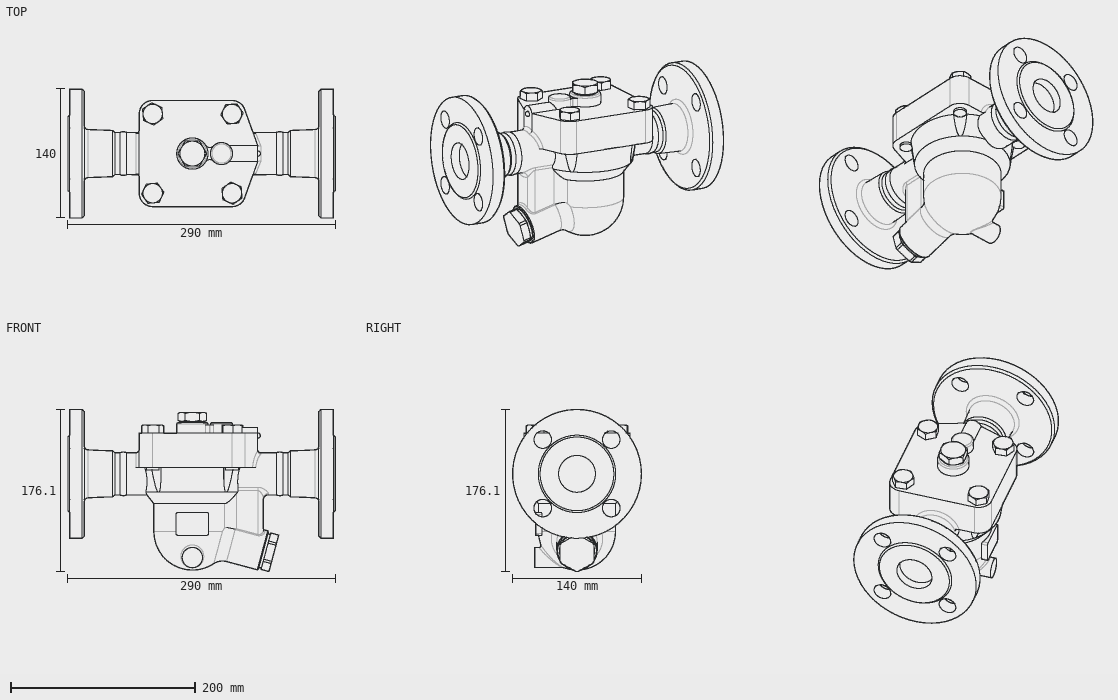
import cadquery as cq
import math

FACE_TO_FACE = 290.0
HALF_LENGTH = FACE_TO_FACE / 2
FLANGE_RADIUS = 70.0
FLANGE_THICKNESS = 16.0
FLANGE_CHAMFER = 2.5
RAISED_FACE_RADIUS = 42.0
RAISED_FACE_HEIGHT = 2.0
BOLT_CIRCLE_RADIUS = 52.5
FLANGE_HOLE_DIAMETER = 19.0
FLANGE_HOLES = 4
FIRST_HOLE_ANGLE = 45.0
PORT_DIAMETER = 40.0
PORT_DEPTH = 10.0

PIPE_RADIUS = 23.0
STUB_WIDE_RADIUS = 26.2
STUB_NARROW_RADIUS = 25.2
STUB_WIDE_X = 123.0
STUB_NARROW_X = 96.5
STUB_BEVEL_X = 94.0
STUB_FILLET = HALF_LENGTH - RAISED_FACE_HEIGHT - FLANGE_THICKNESS - STUB_WIDE_X
WELD_CENTER_X = 84.8
WELD_HALF_WIDTH = 3.6
WELD_HEIGHT = 0.8

BODY_X = -10.0
PLATE_BOTTOM_Z = 6.9
PLATE_TOP_Z = 44.1
BOLT_OFFSET = 43.0
PLATE_CORNER_RADIUS = 14.7
PLATE_NOSE_X = 60.8
PLATE_NOSE_HALF_WIDTH = 9.0
PLATE_PIPE_FILLET = 3.5

BOLT_FLATS = 21.0
BOLT_HEAD_HEIGHT = 9.0
BOLT_TURN = 5.0
COVER_BOLTS = 4
PLUG_BOSS_RADIUS = 17.0
BOSS_TOP_Z = 55.5
BOSS_EDGE_FILLET = 1.6
PLUG_FLATS = 27.0
PLUG_SEAT_Z = 56.8
PLUG_TOP_Z = 66.7
PLUG_COLLAR_RADIUS = 12.0
SIDE_BOSS_X = 21.6
SIDE_BOSS_RADIUS = 12.0
BRIDGE_WIDTH = 13.2
BRIDGE_TOP_Z = 53.1
BRIDGE_FILLET = 5.0
RUNNER_RADIUS = 9.0
RUNNER_Z = 41.5
NIPPLE_RADIUS = 3.0

BOWL_RADIUS = 42.0
BOWL_CENTER_Z = -62.5
SHOULDER_TOP_RADIUS = 56.0
SHOULDER_LOW_RADIUS = 51.9
SHOULDER_LOW_Z = -19.6
BOWL_TOP_Z = -32.3
BOLT_CLEARANCE_RADIUS = 9.0
BOLT_SHANK_RADIUS = 7.0
BOLT_END_Z = 4.4

ARM_TILT = 15.0
ARM_RADIUS = 22.0
ARM_BLEND_START = 44.3
ARM_END = 79.8
ARM_CHAMFER = 1.0
CAP_NECK_RADIUS = 19.0
CAP_START = 82.6
CAP_END = 91.6
CAP_FLATS = 37.0
CAP_CORNER_DIAMETER = 41.2

WEB_HALF_WIDTH = 16.5
WEB_END_X = 67.0
WEB_EDGE_FILLET = 6.0
WEB_ROOT_X = 37.9
WEB_PIPE_FILLET = 5.5
WEB_ARM_FILLET = 2.0

PAD_WIDTH = 35.4
PAD_TOP_Z = -41.9
PAD_BOTTOM_Z = -66.6
PAD_FRONT_Y = -45.0
PAD_CORNER_RADIUS = 2.0
DRAIN_DIAMETER = 22.0
DRAIN_Z = -90.8
DRAIN_FRONT_Y = -46.0
DRAIN_FILLET = 2.0

EDGE_MARGIN = 1.0


def vertical_cylinder(x, y, radius, bottom, top):
    return cq.Workplane("XY", origin=(x, y, bottom)).circle(radius).extrude(top - bottom)


def edges_within(solid, low, high):
    """Edges that lie wholly inside the box between two opposite corners."""
    return solid.edges(cq.selectors.BoxSelector(low, high, boundingbox=True))


def hex_prism(flats, height, corner_diameter):
    """Hexagon along +Z from the origin, its corners trimmed to a cylinder."""
    prism = cq.Workplane("XY").polygon(6, flats / math.cos(math.pi / 6)).extrude(height)
    return prism.intersect(cq.Workplane("XY").circle(corner_diameter / 2).extrude(height))


def hex_head(flats, height, bevel_both_ends=False):
    """Hexagon head along +Z from the origin with turned 30 degree bevels on its corners."""
    corner_radius = flats / 2 / math.cos(math.pi / 6)
    bevel_width = corner_radius - flats / 2
    bevel_height = bevel_width * math.tan(math.pi / 6)
    prism = cq.Workplane("XY").polygon(6, 2 * corner_radius).extrude(height)
    turned = cq.Workplane("XY").circle(corner_radius).extrude(height)
    ends = turned.faces(">Z or <Z") if bevel_both_ends else turned.faces(">Z")
    return prism.intersect(ends.edges().chamfer(bevel_height, bevel_width))


def flange_and_stub():
    """Flange, hub fillet, tapered stub and weld bead of the +X end, turned about X."""
    face_x = HALF_LENGTH - RAISED_FACE_HEIGHT
    back_x = face_x - FLANGE_THICKNESS
    fillet_mid = STUB_FILLET * (1 - math.sqrt(0.5))
    profile = (
        cq.Workplane("XY")
        .moveTo(0, 0)
        .lineTo(0, PIPE_RADIUS)
        .lineTo(WELD_CENTER_X - WELD_HALF_WIDTH, PIPE_RADIUS)
        .threePointArc(
            (WELD_CENTER_X, PIPE_RADIUS + WELD_HEIGHT),
            (WELD_CENTER_X + WELD_HALF_WIDTH, PIPE_RADIUS),
        )
        .lineTo(STUB_BEVEL_X, PIPE_RADIUS)
        .lineTo(STUB_NARROW_X, STUB_NARROW_RADIUS)
        .lineTo(STUB_WIDE_X, STUB_WIDE_RADIUS)
        .threePointArc(
            (back_x - fillet_mid, STUB_WIDE_RADIUS + fillet_mid),
            (back_x, STUB_WIDE_RADIUS + STUB_FILLET),
        )
        .lineTo(back_x, FLANGE_RADIUS - FLANGE_CHAMFER)
        .lineTo(back_x + FLANGE_CHAMFER, FLANGE_RADIUS)
        .lineTo(face_x, FLANGE_RADIUS)
        .lineTo(face_x, RAISED_FACE_RADIUS)
        .lineTo(HALF_LENGTH, RAISED_FACE_RADIUS - RAISED_FACE_HEIGHT)
        .lineTo(HALF_LENGTH, 0)
        .close()
    )
    end = profile.revolve(360, (0, 0, 0), (1, 0, 0))
    face = cq.Workplane("YZ", origin=(HALF_LENGTH, 0, 0))
    holes = (
        face.polarArray(BOLT_CIRCLE_RADIUS, FIRST_HOLE_ANGLE, 360, FLANGE_HOLES)
        .circle(FLANGE_HOLE_DIAMETER / 2)
        .extrude(-FLANGE_THICKNESS - RAISED_FACE_HEIGHT)
    )
    port = face.circle(PORT_DIAMETER / 2).extrude(-PORT_DEPTH)
    return end.cut(holes).cut(port)


def plates():
    """Square plates with round corners and a nose towards +X."""
    left = BODY_X - BOLT_OFFSET
    right = BODY_X + BOLT_OFFSET
    reach = BOLT_OFFSET + PLATE_CORNER_RADIUS
    nose_dx = PLATE_NOSE_X - right
    nose_dy = BOLT_OFFSET - PLATE_NOSE_HALF_WIDTH
    tangent = math.acos(PLATE_CORNER_RADIUS / math.hypot(nose_dx, nose_dy)) - math.atan2(nose_dy, nose_dx)

    def on_corner(center_x, side, angle):
        return (
            center_x + PLATE_CORNER_RADIUS * math.cos(angle),
            side * (BOLT_OFFSET + PLATE_CORNER_RADIUS * math.sin(angle)),
        )

    right_mid = (tangent + math.pi / 2) / 2
    left_mid = 3 * math.pi / 4
    outline = (
        cq.Workplane("XY", origin=(0, 0, PLATE_BOTTOM_Z))
        .moveTo(left, -reach)
        .lineTo(right, -reach)
        .threePointArc(on_corner(right, -1, right_mid), on_corner(right, -1, tangent))
        .lineTo(PLATE_NOSE_X, -PLATE_NOSE_HALF_WIDTH)
        .lineTo(PLATE_NOSE_X, PLATE_NOSE_HALF_WIDTH)
        .lineTo(*on_corner(right, 1, tangent))
        .threePointArc(on_corner(right, 1, right_mid), (right, reach))
        .lineTo(left, reach)
        .threePointArc(on_corner(left, 1, left_mid), (left - PLATE_CORNER_RADIUS, BOLT_OFFSET))
        .lineTo(left - PLATE_CORNER_RADIUS, -BOLT_OFFSET)
        .threePointArc(on_corner(left, -1, left_mid), (left, -reach))
        .close()
    )
    return outline.extrude(PLATE_TOP_Z - PLATE_BOTTOM_Z)


def along_arm(shape):
    """Place a shape built along +Z from the origin onto the arm axis."""
    tilted = shape.rotate((0, 0, 0), (0, 1, 0), 90 + ARM_TILT)
    return tilted.translate((BODY_X, 0, BOWL_CENTER_Z))


def below_arm():
    """Block filling the space under a plane halfway from the arm axis to its upper side."""
    size = 2 * HALF_LENGTH
    block = cq.Workplane("XY").box(size, size, size).translate((size / 2 - ARM_RADIUS / 2, 0, 0))
    return along_arm(block)


def straight_web():
    """Straight part of the web from the pipe axis down into the arm, its end corners rounded."""
    block = cq.Workplane("XY").box(
        WEB_END_X,
        2 * WEB_HALF_WIDTH,
        BOWL_RADIUS - BOWL_CENTER_Z,
        centered=(False, True, False),
    )
    block = block.translate((0, 0, BOWL_CENTER_Z - BOWL_RADIUS))
    return block.edges("|Z and >X").fillet(WEB_EDGE_FILLET).cut(below_arm())


def web_root():
    """Root of the web, flaring tangentially into the bowl."""
    root_dx = WEB_ROOT_X - BODY_X
    root_radius = (root_dx**2 + WEB_HALF_WIDTH**2 - BOWL_RADIUS**2) / (2 * (BOWL_RADIUS - WEB_HALF_WIDTH))
    center_y = WEB_HALF_WIDTH + root_radius
    bowl_angle = math.atan2(center_y, root_dx)
    arc_angle = (bowl_angle + math.pi / 2) / 2
    bowl_point = (BODY_X + BOWL_RADIUS * math.cos(bowl_angle), BOWL_RADIUS * math.sin(bowl_angle))
    arc_point = (
        WEB_ROOT_X - root_radius * math.cos(arc_angle),
        center_y - root_radius * math.sin(arc_angle),
    )

    def mirrored(point):
        return (point[0], -point[1])

    outline = (
        cq.Workplane("XY", origin=(0, 0, -BOWL_RADIUS + BOWL_CENTER_Z))
        .moveTo(BODY_X, -bowl_point[1])
        .lineTo(*mirrored(bowl_point))
        .threePointArc(mirrored(arc_point), (WEB_ROOT_X, -WEB_HALF_WIDTH))
        .lineTo(WEB_ROOT_X, WEB_HALF_WIDTH)
        .threePointArc(arc_point, bowl_point)
        .lineTo(BODY_X, bowl_point[1])
        .close()
    )
    return outline.extrude(BOWL_RADIUS - BOWL_CENTER_Z).cut(below_arm())


def arm():
    """Round arm with a toroidal blend into the bowl, a neck and a hexagon cap."""
    blend_radius = (ARM_BLEND_START**2 + ARM_RADIUS**2 - BOWL_RADIUS**2) / (2 * (BOWL_RADIUS - ARM_RADIUS))
    blend_center = ARM_RADIUS + blend_radius
    bowl_angle = math.atan2(blend_center, ARM_BLEND_START)
    mid_angle = (bowl_angle + math.pi / 2) / 2
    bowl_point = (BOWL_RADIUS * math.sin(bowl_angle), BOWL_RADIUS * math.cos(bowl_angle))
    mid_point = (
        blend_center - blend_radius * math.sin(mid_angle),
        ARM_BLEND_START - blend_radius * math.cos(mid_angle),
    )
    turned = (
        cq.Workplane("XZ")
        .moveTo(0, bowl_point[1])
        .lineTo(*bowl_point)
        .threePointArc(mid_point, (ARM_RADIUS, ARM_BLEND_START))
        .lineTo(ARM_RADIUS, ARM_END - ARM_CHAMFER)
        .lineTo(ARM_RADIUS - ARM_CHAMFER, ARM_END)
        .lineTo(CAP_NECK_RADIUS, ARM_END)
        .lineTo(CAP_NECK_RADIUS, CAP_START)
        .lineTo(0, CAP_START)
        .close()
        .revolve(360, (0, 0, 0), (0, 1, 0))
    )
    cap = hex_prism(CAP_FLATS, CAP_END - CAP_START, CAP_CORNER_DIAMETER)
    return along_arm(turned.union(cap.translate((0, 0, CAP_START))))


def bowl():
    """Shoulder cones, cylinder and spherical bottom, scalloped to clear the bolts."""
    half_sphere_point = (
        BOWL_RADIUS * math.sqrt(0.5),
        BOWL_CENTER_Z - BOWL_RADIUS * math.sqrt(0.5),
    )
    turned = (
        cq.Workplane("XZ", origin=(BODY_X, 0, 0))
        .moveTo(0, PLATE_BOTTOM_Z)
        .lineTo(SHOULDER_TOP_RADIUS, PLATE_BOTTOM_Z)
        .lineTo(SHOULDER_LOW_RADIUS, SHOULDER_LOW_Z)
        .lineTo(BOWL_RADIUS, BOWL_TOP_Z)
        .lineTo(BOWL_RADIUS, BOWL_CENTER_Z)
        .threePointArc(half_sphere_point, (0, BOWL_CENTER_Z - BOWL_RADIUS))
        .close()
        .revolve(360, (0, 0, 0), (0, 1, 0))
    )
    for x, y, _ in corner_points():
        clearance = vertical_cylinder(x, y, BOLT_CLEARANCE_RADIUS, BOWL_TOP_Z, PLATE_BOTTOM_Z)
        turned = turned.cut(clearance)
    return turned


def corner_points():
    """Cover bolt positions and the turn of each about the body axis, from the -X, -Y corner."""
    reach = BOLT_OFFSET * math.sqrt(2)
    for index in range(COVER_BOLTS):
        turn = index * 360 / COVER_BOLTS
        angle = math.radians(turn) - 3 * math.pi / 4
        yield BODY_X + reach * math.cos(angle), reach * math.sin(angle), turn


def cover_bolts():
    """Hexagon heads on the cover and shank ends standing out below the plates."""
    head = hex_head(BOLT_FLATS, BOLT_HEAD_HEIGHT)
    bolts = cq.Workplane("XY")
    for x, y, turn in corner_points():
        turned = head.rotate((0, 0, 0), (0, 0, 1), BOLT_TURN + turn)
        bolts = bolts.union(turned.translate((x, y, PLATE_TOP_Z)))
        bolts = bolts.union(vertical_cylinder(x, y, BOLT_SHANK_RADIUS, BOLT_END_Z, PLATE_TOP_Z))
    return bolts


def rounded_boss(x, radius):
    """Cover boss with a rounded top edge."""
    boss = vertical_cylinder(x, 0, radius, PLATE_TOP_Z, BOSS_TOP_Z)
    return boss.faces(">Z").edges().fillet(BOSS_EDGE_FILLET)


def bridged_bosses():
    """Plug boss and side boss with the filleted bridge between them."""
    bridge = cq.Workplane("XY", origin=(BODY_X, 0, PLATE_TOP_Z)).box(
        SIDE_BOSS_X - BODY_X,
        BRIDGE_WIDTH,
        BRIDGE_TOP_Z - PLATE_TOP_Z,
        centered=(False, True, False),
    )
    bosses = rounded_boss(BODY_X, PLUG_BOSS_RADIUS).union(rounded_boss(SIDE_BOSS_X, SIDE_BOSS_RADIUS))
    bosses = bosses.union(bridge)
    corners = edges_within(
        bosses,
        (BODY_X + PLUG_BOSS_RADIUS / 2, -BRIDGE_WIDTH, PLATE_TOP_Z - EDGE_MARGIN),
        (SIDE_BOSS_X - SIDE_BOSS_RADIUS / 2, BRIDGE_WIDTH, BOSS_TOP_Z),
    )
    return corners.edges("|Z").fillet(BRIDGE_FILLET)


def cover_fittings():
    """Bridged bosses, hexagon plug on its collar, runner to the nose and its domed nipple."""
    collar = vertical_cylinder(BODY_X, 0, PLUG_COLLAR_RADIUS, BOSS_TOP_Z, PLUG_SEAT_Z)
    plug = hex_head(PLUG_FLATS, PLUG_TOP_Z - PLUG_SEAT_Z, bevel_both_ends=True)
    runner = (
        cq.Workplane("YZ", origin=(SIDE_BOSS_X, 0, RUNNER_Z))
        .circle(RUNNER_RADIUS)
        .extrude(PLATE_NOSE_X - SIDE_BOSS_X)
    )
    nipple = cq.Workplane("XY", origin=(PLATE_NOSE_X, 0, RUNNER_Z)).sphere(NIPPLE_RADIUS)
    fittings = bridged_bosses().union(collar).union(runner).union(nipple)
    return fittings.union(plug.translate((BODY_X, 0, PLUG_SEAT_Z)))


def name_pad():
    """Rectangular pad from the body axis plane out through the bowl wall."""
    return (
        cq.Workplane("XZ", origin=(BODY_X, 0, (PAD_TOP_Z + PAD_BOTTOM_Z) / 2))
        .rect(PAD_WIDTH, PAD_TOP_Z - PAD_BOTTOM_Z)
        .extrude(-PAD_FRONT_Y)
        .edges("|Y")
        .fillet(PAD_CORNER_RADIUS)
    )


def drain_plug():
    """Round plug from the body axis plane out through the bowl bottom."""
    return (
        cq.Workplane("XZ", origin=(BODY_X, 0, DRAIN_Z))
        .circle(DRAIN_DIAMETER / 2)
        .extrude(-DRAIN_FRONT_Y)
    )


def pipe_and_plates():
    """Plain pipe through the plates, filleted where it enters them."""
    near_pipe = PIPE_RADIUS + EDGE_MARGIN
    plate_left = BODY_X - BOLT_OFFSET - PLATE_CORNER_RADIUS
    pipe = cq.Workplane("YZ", origin=(-STUB_BEVEL_X, 0, 0)).circle(PIPE_RADIUS).extrude(2 * STUB_BEVEL_X)
    solid = pipe.union(plates())
    for low_x, high_x in (
        (plate_left - EDGE_MARGIN, plate_left + EDGE_MARGIN),
        (BODY_X + BOLT_OFFSET, PLATE_NOSE_X + EDGE_MARGIN),
    ):
        joint = edges_within(
            solid,
            (low_x, -near_pipe, PLATE_BOTTOM_Z - EDGE_MARGIN),
            (high_x, near_pipe, near_pipe),
        )
        solid = joint.fillet(PLATE_PIPE_FILLET)
    return solid


def add_web(solid):
    """Join the web to the pipe above it and to the arm below it, filleted at both."""
    near_pipe = PIPE_RADIUS + EDGE_MARGIN
    near_web = WEB_HALF_WIDTH + EDGE_MARGIN
    far_x = WEB_END_X + EDGE_MARGIN
    plain_arm = cq.Workplane("XY").circle(ARM_RADIUS).extrude(ARM_END - ARM_CHAMFER)
    solid = solid.union(straight_web()).union(along_arm(plain_arm))
    web_top = edges_within(
        solid,
        (-EDGE_MARGIN, -near_web, -near_pipe),
        (far_x, near_web, -EDGE_MARGIN),
    )
    solid = web_top.fillet(WEB_PIPE_FILLET)
    web_bottom = edges_within(
        solid,
        (-EDGE_MARGIN, -near_web, BOWL_CENTER_Z - ARM_RADIUS),
        (far_x, near_web, -near_pipe - WEB_PIPE_FILLET),
    )
    return web_bottom.fillet(WEB_ARM_FILLET)


def bowl_and_drain():
    """Bowl with the drain plug standing out on its -Y side, filleted around the plug."""
    solid = bowl().union(drain_plug())
    joint = edges_within(
        solid,
        (BODY_X - DRAIN_DIAMETER, DRAIN_FRONT_Y + EDGE_MARGIN, DRAIN_Z - DRAIN_DIAMETER),
        (BODY_X + DRAIN_DIAMETER, -EDGE_MARGIN, DRAIN_Z + DRAIN_DIAMETER / 2 + EDGE_MARGIN),
    )
    return joint.fillet(DRAIN_FILLET)


pipe_end = flange_and_stub()
result = add_web(pipe_and_plates())
for part in (
    bowl_and_drain(),
    web_root(),
    arm(),
    pipe_end,
    pipe_end.mirror("YZ"),
    cover_bolts(),
    cover_fittings(),
    name_pad(),
):
    result = result.union(part)